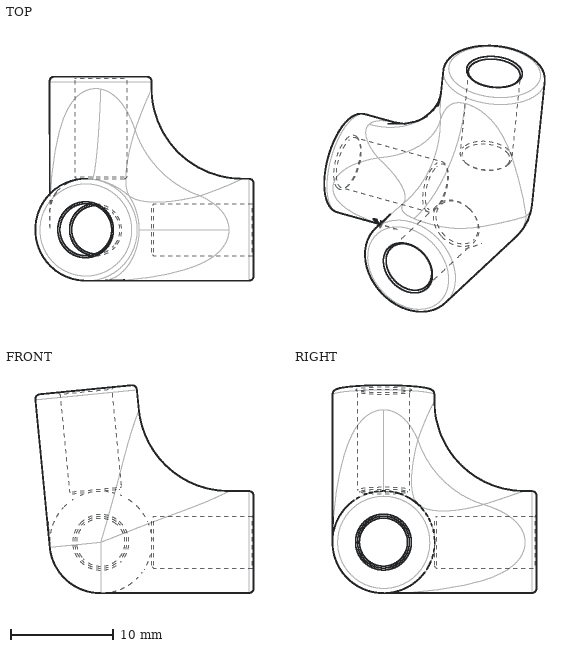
import cadquery as cq
import math

arm_radius = 5.0
arm_length = 14.99
tilt_angle = 5.6
blend_radius = 8.83
rim_round = 0.5
bore_radius = 2.55
bore_depth = 10.0
bore_chamfer = 0.2

tilt = math.radians(tilt_angle)
x_axis = cq.Vector(1, 0, 0)
y_axis = cq.Vector(0, 1, 0)
upright_axis = cq.Vector(-math.sin(tilt), 0, math.cos(tilt))
arm_axes = [x_axis, y_axis, upright_axis]


def end_plane(axis):
    """Plane on the end face of an arm, facing outward."""
    return cq.Plane(origin=axis * arm_length, normal=axis)


def arm(axis):
    """Solid round arm from the corner to its end face."""
    return cq.Workplane(end_plane(axis)).circle(arm_radius).extrude(-arm_length)


def bore(axis):
    """Blind hole in an arm end, with a chamfered mouth and a chamfered floor edge."""
    mouth_radius = bore_radius + bore_chamfer
    floor_radius = bore_radius - bore_chamfer
    profile = [
        (0, 0),
        (mouth_radius, 0),
        (bore_radius, -bore_chamfer),
        (bore_radius, bore_chamfer - bore_depth),
        (floor_radius, -bore_depth),
        (0, -bore_depth),
    ]
    radial_direction = end_plane(axis).xDir
    half_section = cq.Plane(
        origin=axis * arm_length,
        xDir=radial_direction,
        normal=radial_direction.cross(axis),
    )
    return cq.Workplane(half_section).polyline(profile).close().revolve(360, (0, 0), (0, 1))


body = cq.Workplane().sphere(arm_radius)
for axis in arm_axes:
    body = body.union(arm(axis))

body = body.edges("%ELLIPSE").fillet(blend_radius)

for axis in arm_axes:
    end_face = cq.selectors.DirectionMinMaxSelector(axis, True)
    body = body.faces(end_face).edges().fillet(rim_round)

for axis in arm_axes:
    body = body.cut(bore(axis))

result = body.solids()